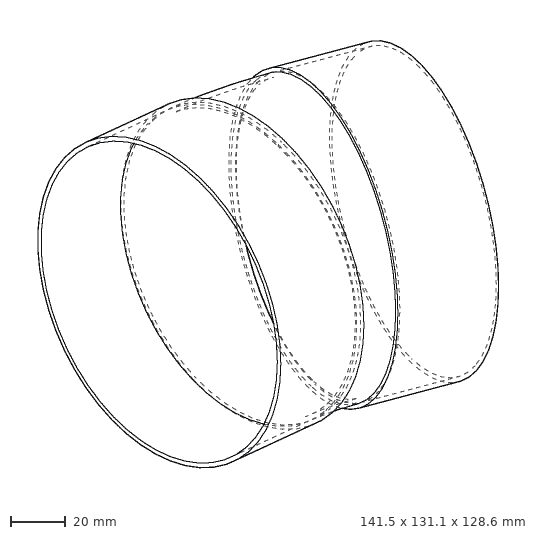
import cadquery as cq
import math

socket_diameter = 128.6
socket_bore = 125.0
socket_length = 42.0
stop_radius = 1.8
bend_diameter = 125.2
bend_radius = 123.2
bend_angle = 15

bend_bore = socket_bore - 2 * stop_radius
bore_depth = socket_length - stop_radius

bend_center = (bend_radius, socket_length, 0)
bend_axis_top = (bend_radius, socket_length, 1)


def sleeve():
    """Solid outer cylinder of the inlet socket."""
    return cq.Workplane("XZ").circle(socket_diameter / 2).extrude(-socket_length)


def socket_cavity():
    """Inlet bore that narrows over a convex quarter round to the bend bore."""
    bore_radius = socket_bore / 2
    throat_radius = bend_bore / 2
    diagonal = stop_radius * math.sqrt(0.5)
    arc_middle = (bore_radius - diagonal, socket_length - diagonal)
    return (
        cq.Workplane("XY")
        .lineTo(bore_radius, 0)
        .lineTo(bore_radius, bore_depth)
        .threePointArc(arc_middle, (throat_radius, socket_length))
        .lineTo(0, socket_length)
        .close()
        .revolve(360, (0, 0, 0), (0, 1, 0))
    )


def bend(diameter):
    """Solid circular bend between the two sockets."""
    return (
        cq.Workplane("XZ", origin=(0, socket_length, 0))
        .circle(diameter / 2)
        .revolve(bend_angle, (bend_radius, 0, 0), (bend_radius, -1, 0))
    )


def at_outlet(inlet_shape):
    """Copy of an inlet shape placed at the outlet end, facing outward."""
    flipped = inlet_shape.mirror("XZ", (0, socket_length, 0))
    return flipped.rotate(bend_center, bend_axis_top, -bend_angle)


def elbow(inlet_shape, bend_shape):
    """Inlet, bend and outlet joined together."""
    return inlet_shape.union(bend_shape).union(at_outlet(inlet_shape))


outer_body = elbow(sleeve(), bend(bend_diameter))
passage = elbow(socket_cavity(), bend(bend_bore))
result = outer_body.cut(passage)